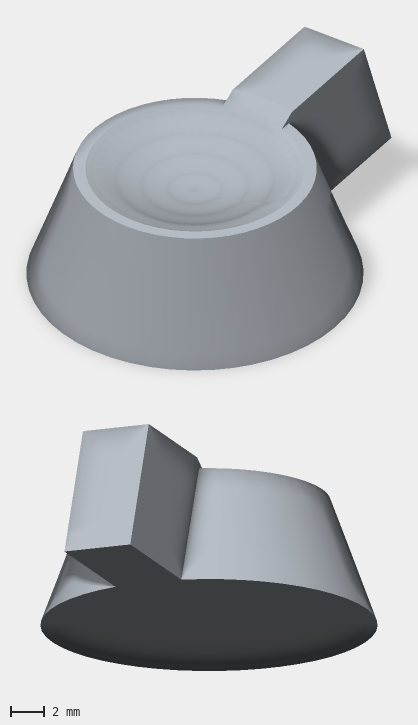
import cadquery as cq
import math

base_diameter = 20.0
body_height = 7.62
side_angle = 20.0
side_slope = math.tan(math.radians(side_angle))
base_radius = base_diameter / 2
top_radius = base_radius - body_height * side_slope

overall_length = 28.0
arm_width = 4.2
arm_height = 8.2
arm_tip_y = overall_length - base_radius
arm_top_y = arm_tip_y - arm_height * side_slope

dish_diameter = 13.0
dish_sphere_radius = 14.28
dish_centre_z = body_height + math.sqrt(dish_sphere_radius**2 - (dish_diameter / 2) ** 2)


def make_body():
    """Solid cone frustum standing on Z = 0."""
    profile = [(0, 0), (base_radius, 0), (top_radius, body_height), (0, body_height)]
    return cq.Workplane("XZ").polyline(profile).close().revolve(360, (0, 0), (0, 1))


def make_arm():
    """Arm with a leaning tip, starting at the knob axis."""
    profile = [(0, 0), (arm_tip_y, 0), (arm_top_y, arm_height), (0, arm_height)]
    return cq.Workplane("YZ").polyline(profile).close().extrude(arm_width / 2, both=True)


def make_dish():
    """Sphere that hollows the top and trims the inner end of the arm."""
    return cq.Workplane("XY").sphere(dish_sphere_radius).translate((0, 0, dish_centre_z))


result = make_body().union(make_arm()).cut(make_dish())